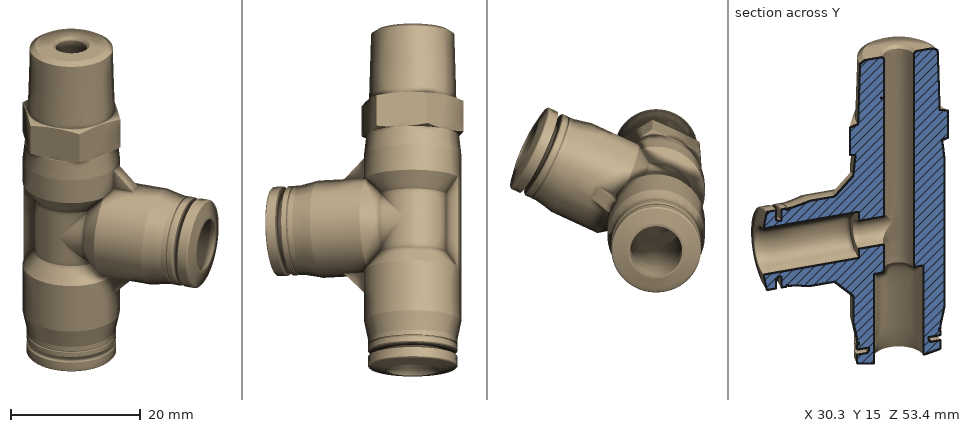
import cadquery as cq
import math

total_height = 53.4
branch_height = 22.95
hex_across_flats = 14.0
hex_corner_radius = hex_across_flats / math.sqrt(3)
total_width = 30.3
branch_end = total_width - hex_corner_radius

body_radius = 15.0 / 2
core_radius = 5.7
shoulder_length = 2.55

port_radius = 13.8 / 2
collar_bevel = 0.65
collar_face_radius = 4.4
collar_depth = 2.1
neck_radius = 9.8 / 2
neck_flare = 0.25
neck_flare_depth = 2.55
port_face_depth = 2.9
groove_depth_from_end = 3.8
edge_break = 0.15
groove_width = 0.25
groove_cut = 0.25
taper_start = 4.8
taper_end = 7.75
port_body_depth = 15.6
tube_bore_radius = 8.0 / 2

upper_shoulder_z = 29.9
upper_taper_z = 33.85
hex_bottom_z = 36.9
hex_top_z = 42.35
upper_end_radius = 7.15
hex_bevel_radius = 6.95
hex_bevel_height = 0.3
stem_base_radius = 6.75
stem_tip_radius = 6.4
stem_chamfer_height = 0.55
stem_face_radius = 5.55
passage_radius = 4.8 / 2
passage_mouth_chamfer = 0.45

rib_thickness = 2.15
gusset_reach = 18.05


def revolve_about_z(points):
    """Turn a closed (radius, height) outline about the Z axis."""
    return cq.Workplane("XZ").polyline(points).close().revolve(360, (0, 0, 0), (0, 1, 0))


def place_on_branch(shape):
    """Move a shape whose open end is at Z = 0 to the end of the branch."""
    return shape.rotate((0, 0, 0), (0, 1, 0), -90).translate((branch_end, 0, branch_height))


def make_port(axis_depth):
    """Port with release collar; the open end is at Z = 0 and the core reaches axis_depth."""
    groove_end = groove_depth_from_end + groove_width
    groove_radius = port_radius - groove_cut
    return revolve_about_z([
        (0, 0),
        (collar_face_radius, 0),
        (port_radius - edge_break, collar_bevel - edge_break),
        (port_radius, collar_bevel),
        (port_radius, collar_depth),
        (neck_radius + neck_flare, collar_depth),
        (neck_radius, neck_flare_depth),
        (neck_radius, port_face_depth),
        (port_radius - edge_break, port_face_depth),
        (port_radius, port_face_depth + edge_break),
        (port_radius, groove_depth_from_end),
        (groove_radius, groove_depth_from_end),
        (groove_radius, groove_end),
        (port_radius, groove_end),
        (port_radius, taper_start),
        (body_radius, taper_end),
        (body_radius, port_body_depth),
        (core_radius, port_body_depth + shoulder_length),
        (core_radius, axis_depth),
        (0, axis_depth),
    ])


def make_port_bore(axis_depth):
    """Tube socket followed by the narrower passage to the tee centre."""
    return revolve_about_z([
        (0, 0),
        (tube_bore_radius, 0),
        (tube_bore_radius, port_body_depth),
        (passage_radius, port_body_depth),
        (passage_radius, axis_depth),
        (0, axis_depth),
    ])


def make_upper_run():
    """Upper body and tapered stem, starting at the tee centre."""
    return revolve_about_z([
        (0, branch_height),
        (core_radius, branch_height),
        (core_radius, upper_shoulder_z - shoulder_length),
        (body_radius, upper_shoulder_z),
        (body_radius, upper_taper_z),
        (upper_end_radius, hex_bottom_z),
        (stem_base_radius, hex_bottom_z),
        (stem_base_radius, hex_top_z),
        (stem_tip_radius, total_height - stem_chamfer_height),
        (stem_face_radius, total_height),
        (0, total_height),
    ])


def make_hex():
    """Wrench hexagon with corners on the X axis and bevelled corner tips."""
    prism = (
        cq.Workplane("XY", origin=(0, 0, hex_bottom_z))
        .polygon(6, 2 * hex_corner_radius)
        .extrude(hex_top_z - hex_bottom_z)
    )
    envelope = revolve_about_z([
        (0, hex_bottom_z),
        (hex_bevel_radius, hex_bottom_z),
        (hex_corner_radius, hex_bottom_z + hex_bevel_height),
        (hex_corner_radius, hex_top_z - hex_bevel_height),
        (hex_bevel_radius, hex_top_z),
        (0, hex_top_z),
    ])
    return prism.intersect(envelope)


def make_plate(points):
    """Plate with a closed (x, z) outline, centred on the XZ plane."""
    return cq.Workplane("XZ").polyline(points).close().extrude(rib_thickness / 2, both=True)


def make_back_rib():
    """Rib opposite the branch, its outer face continuing the round body surface."""
    rib = make_plate([
        (-body_radius, port_body_depth),
        (0, port_body_depth),
        (0, upper_shoulder_z),
        (-body_radius, upper_shoulder_z),
    ])
    return rib.intersect(cq.Workplane("XY").circle(body_radius).extrude(total_height))


def make_gussets():
    """45-degree gussets above and below the branch, as one plate trimmed inside the bodies."""
    return make_plate([
        (core_radius, branch_height - gusset_reach + core_radius),
        (gusset_reach - core_radius, branch_height - core_radius),
        (gusset_reach - core_radius, branch_height + core_radius),
        (core_radius, branch_height + gusset_reach - core_radius),
    ])


def make_upper_passage():
    """Passage from the tee centre to the chamfered mouth in the stem."""
    return revolve_about_z([
        (0, branch_height),
        (passage_radius, branch_height),
        (passage_radius, total_height - passage_mouth_chamfer),
        (passage_radius + passage_mouth_chamfer, total_height),
        (0, total_height),
    ])


body = (
    make_port(branch_height)
    .union(make_upper_run())
    .union(make_hex())
    .union(place_on_branch(make_port(branch_end)))
    .union(make_back_rib())
    .union(make_gussets())
)

result = (
    body.cut(make_port_bore(branch_height))
    .cut(place_on_branch(make_port_bore(branch_end)))
    .cut(make_upper_passage())
)